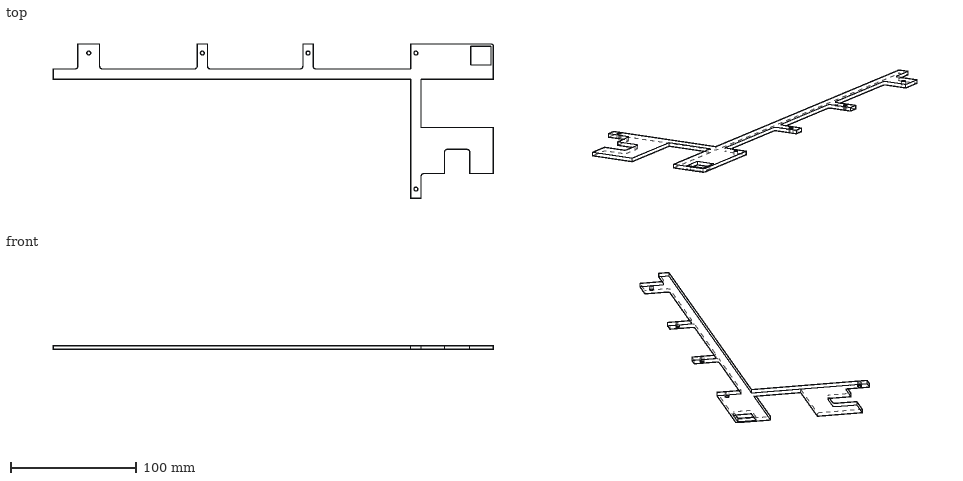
import cadquery as cq

length = 351.5
depth = 123.5
thickness = 3.0

strip_width = 8.5

bar_bottom = 95.0
bar_top = bar_bottom + strip_width

post_left = 285.5
post_right = post_left + strip_width
lower_plate_bottom = 19.7
lower_plate_top = 56.5

notch_left = 312.5
notch_width = 20.0
notch_top = 39.0

window_width = 15.8
window_height = 14.8
window_wall = 2.0

wide_tab = (19.7, 17.5)
middle_tab = (115.0, strip_width)
right_tab = (199.3, strip_width)
tabs = (wide_tab, middle_tab, right_tab)

hole_diameter = 3.0
hole_edge_distance = 7.5

corner_radius = 2.0


def plate(left, bottom, right, top):
    """Flat rectangular plate resting on Z = 0."""
    return (
        cq.Workplane("XY")
        .box(right - left, top - bottom, thickness, centered=False)
        .translate((left, bottom, 0))
    )


body = plate(0, bar_bottom, length, bar_top)
body = body.union(plate(post_left, 0, post_right, depth))
body = body.union(plate(post_left, bar_bottom, length, depth))
body = body.union(plate(post_left, lower_plate_bottom, length, lower_plate_top))
for tab_left, tab_width in tabs:
    body = body.union(plate(tab_left, bar_bottom, tab_left + tab_width, depth))

notch_right = notch_left + notch_width
body = body.cut(plate(notch_left, lower_plate_bottom, notch_right, notch_top))

rounded_corners = [
    (notch_left, notch_top),
    (notch_right, notch_top),
    (post_right, lower_plate_bottom),
    (length, depth),
]
for tab_left, tab_width in tabs:
    rounded_corners.append((tab_left, bar_top))
    rounded_corners.append((tab_left + tab_width, bar_top))
for x, y in rounded_corners:
    corner_edge = cq.selectors.NearestToPointSelector((x, y, thickness / 2))
    body = body.edges("|Z").edges(corner_edge).fillet(corner_radius)

window_right = length - window_wall
window_top = depth - window_wall
body = body.cut(
    plate(window_right - window_width, window_top - window_height, window_right, window_top)
)

post_center = post_left + strip_width / 2
upper_hole_xs = [tab_left + tab_width / 2 for tab_left, tab_width in tabs] + [post_center]
hole_centers = [(x, depth - hole_edge_distance) for x in upper_hole_xs]
hole_centers.append((post_center, hole_edge_distance))
holes = cq.Workplane("XY").pushPoints(hole_centers).circle(hole_diameter / 2).extrude(thickness)

result = body.cut(holes)